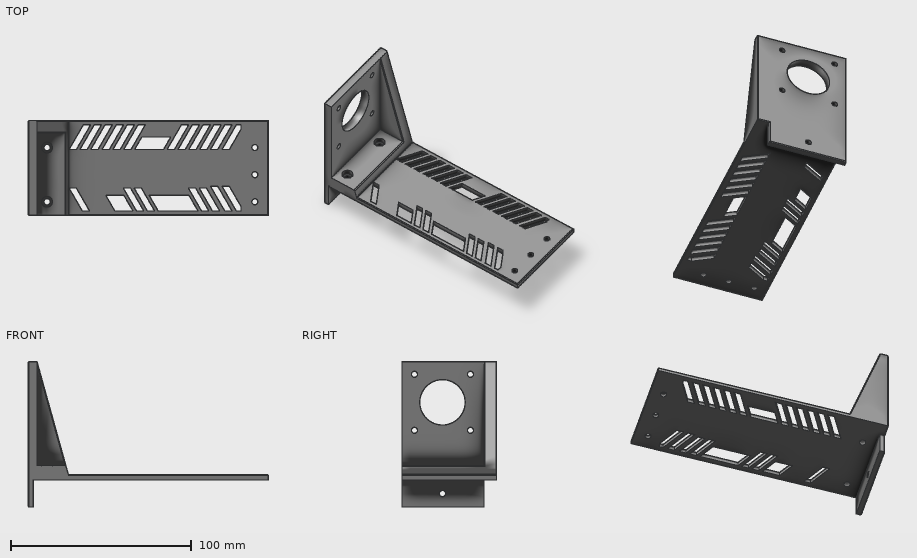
import cadquery as cq
import math

LENGTH = 133.0
WIDTH = 52.5
HEIGHT = 80.5

WALL_THICKNESS = 5.0
FOOT_THICKNESS = 3.0
PLATE_BOTTOM_Z = 15.0
PLATE_THICKNESS = 3.0
PLATE_TOP_Z = PLATE_BOTTOM_Z + PLATE_THICKNESS
LEDGE_Z = 23.0
SLOPE_FOOT_X = 22.35

RIB_THICKNESS = 7.0
RIB_INNER_Y = WIDTH - RIB_THICKNESS
EDGE_CHAMFER = 0.5

FOOT_BEVEL = 0.3

CENTER_Y = 22.5
MOTOR_Z = 58.0
MOTOR_BORE_DIAMETER = 25.0
MOTOR_HOLE_SPACING = 31.0
MOTOR_HOLE_DIAMETER = 3.2

SCREW_HOLE_DIAMETER = 3.4
FOOT_HOLE_Z = 7.5
SCREW_SPACING = 15.0
END_HOLE_X = 125.5
END_HOLE_DIAMETER = 3.2
LEDGE_HOLE_X = 10.5
COUNTERBORE_DIAMETER = 6.0
COUNTERBORE_DEPTH = 3.0

VENT_LEAN = math.radians(30.0)
VENT_WIDTH = 3.9
VENT_PITCH = 6.0
VENT_START_X = 22.8
VENT_END_X = 117.7
VENT_MARGIN = 2.5
LONG_VENT = 13.5
SHORT_VENT = 12.5
BACK_WINDOW_DEPTH = 6.75
FRONT_WINDOW_DEPTH = 8.5
MIDDLE_SHIFT = 0.25
LAST_SHIFT = 0.65


def extrude_profile(points, y_start, y_end):
    """Extrude an XZ outline from y_start to y_end."""
    plane = cq.Workplane("XZ", origin=(0, y_start, 0))
    return plane.polyline(points).close().extrude(y_start - y_end)


def make_body():
    """Wall, plate, ledge and rib, with the foot of the wall cut back below the rib."""
    outline = [
        (0, 0),
        (FOOT_THICKNESS, 0),
        (FOOT_THICKNESS, PLATE_BOTTOM_Z),
        (LENGTH, PLATE_BOTTOM_Z),
        (LENGTH, PLATE_TOP_Z),
        (SLOPE_FOOT_X, PLATE_TOP_Z),
        (WALL_THICKNESS, HEIGHT),
        (0, HEIGHT),
    ]
    body = extrude_profile(outline, 0, WIDTH)
    above_ledge = cq.Workplane("XY").box(SLOPE_FOOT_X, RIB_INNER_Y, HEIGHT, centered=False)
    body = body.cut(above_ledge.translate((WALL_THICKNESS, 0, LEDGE_Z)))
    foot_notch = cq.Workplane("XY").box(FOOT_THICKNESS, RIB_THICKNESS, PLATE_BOTTOM_Z, centered=False)
    return body.cut(foot_notch.translate((0, RIB_INNER_Y, 0)))


def chamfer_edges(body):
    """Bevel the rim of the motor face, the rim of the plate top and the two rims of the slope."""
    body = body.faces("<X").edges().chamfer(EDGE_CHAMFER)
    margin = EDGE_CHAMFER / 2
    plate_rim = cq.selectors.BoxSelector(
        (SLOPE_FOOT_X + margin, -margin, PLATE_TOP_Z - margin),
        (LENGTH + margin, WIDTH + margin, PLATE_TOP_Z + margin),
    )
    slope_rims = cq.selectors.BoxSelector(
        (WALL_THICKNESS + margin, margin, LEDGE_Z - margin),
        (SLOPE_FOOT_X, WIDTH + margin, HEIGHT - margin),
    )
    plate_edges = body.edges(plate_rim)
    slope_edges = body.edges(slope_rims).edges("not(|X or |Z)")
    return plate_edges.add(slope_edges).chamfer(EDGE_CHAMFER)


def point_on_slope(distance):
    """XZ point on the slope, at a distance up from its foot."""
    run = SLOPE_FOOT_X - WALL_THICKNESS
    rise = HEIGHT - PLATE_TOP_Z
    length = math.hypot(run, rise)
    return (SLOPE_FOOT_X - distance * run / length, PLATE_TOP_Z + distance * rise / length)


def add_foot_bevel(body):
    """Fill the inside corner between the slope and the plate with a small bevel."""
    corner = [
        (SLOPE_FOOT_X + FOOT_BEVEL, PLATE_TOP_Z),
        (WALL_THICKNESS, PLATE_TOP_Z),
        point_on_slope(FOOT_BEVEL),
    ]
    return body.union(extrude_profile(corner, EDGE_CHAMFER, WIDTH - EDGE_CHAMFER))


def wall_hole(y, z, diameter):
    """Cylinder along X through the wall."""
    return cq.Workplane("YZ", origin=(0, y, z)).circle(diameter / 2).extrude(WALL_THICKNESS)


def vertical_hole(x, y, bottom_z, diameter):
    """Cylinder along Z from bottom_z up to the height of the ledge."""
    return cq.Workplane("XY", origin=(x, y, bottom_z)).circle(diameter / 2).extrude(LEDGE_Z - bottom_z)


def cut_holes(body):
    """Motor mount, foot hole, end holes and counterbored ledge holes."""
    body = body.cut(wall_hole(CENTER_Y, MOTOR_Z, MOTOR_BORE_DIAMETER))
    body = body.cut(wall_hole(CENTER_Y, FOOT_HOLE_Z, SCREW_HOLE_DIAMETER))
    for y_side in (-1, 1):
        for z_side in (-1, 1):
            y = CENTER_Y + y_side * MOTOR_HOLE_SPACING / 2
            z = MOTOR_Z + z_side * MOTOR_HOLE_SPACING / 2
            body = body.cut(wall_hole(y, z, MOTOR_HOLE_DIAMETER))
    for step in (-1, 0, 1):
        y = CENTER_Y + step * SCREW_SPACING
        body = body.cut(vertical_hole(END_HOLE_X, y, PLATE_BOTTOM_Z, END_HOLE_DIAMETER))
    for step in (-1, 1):
        y = CENTER_Y + step * SCREW_SPACING
        body = body.cut(vertical_hole(LEDGE_HOLE_X, y, PLATE_BOTTOM_Z, SCREW_HOLE_DIAMETER))
        seat_z = LEDGE_Z - COUNTERBORE_DEPTH
        body = body.cut(vertical_hole(LEDGE_HOLE_X, y, seat_z, COUNTERBORE_DIAMETER))
    return body


def make_vent(side, first_slot, last_slot, length, start=0.0, end=None, shift=0.0):
    """Slanted opening on one side of the plate, spanning grid slots and cut off at VENT_END_X.

    side is 1 along the back edge and -1 along the front edge. The grid line lies at a distance
    of length inside the vent margin. The opening runs outward from start to end, both measured
    from the grid line; without an end it reaches the margin.
    """
    border_y = WIDTH - VENT_MARGIN if side > 0 else VENT_MARGIN
    grid_y = border_y - side * length
    if end is None:
        end = length
    left = VENT_START_X + shift + first_slot * VENT_PITCH
    right = left + (last_slot - first_slot) * VENT_PITCH + VENT_WIDTH
    start_lean = start * math.tan(VENT_LEAN)
    end_lean = end * math.tan(VENT_LEAN)
    outline = [
        (left + start_lean, grid_y + side * start),
        (right + start_lean, grid_y + side * start),
        (right + end_lean, grid_y + side * end),
        (left + end_lean, grid_y + side * end),
    ]
    plane = cq.Workplane("XY", origin=(0, 0, PLATE_BOTTOM_Z))
    vent = plane.polyline(outline).close().extrude(PLATE_THICKNESS)
    limit = plane.box(VENT_END_X, WIDTH, PLATE_THICKNESS, centered=False)
    return vent.intersect(limit)


def cut_vents(body):
    """Rows of narrow vents along both sides, with wider windows between them."""
    back, front = 1, -1
    vents = []
    for slot in (0, 1, 2):
        vents.append(make_vent(back, slot, slot, LONG_VENT))
    for slot in (3, 4, 5, 9, 10, 11, 12):
        vents.append(make_vent(back, slot, slot, LONG_VENT, shift=MIDDLE_SHIFT))
    vents.append(make_vent(back, 6, 8, LONG_VENT, end=BACK_WINDOW_DEPTH, shift=MIDDLE_SHIFT))
    for slot in (0, 5, 6, 11, 12):
        vents.append(make_vent(front, slot, slot, SHORT_VENT))
    window_start = SHORT_VENT - FRONT_WINDOW_DEPTH
    for first_slot, last_slot in ((3, 4), (7, 10)):
        vents.append(make_vent(front, first_slot, last_slot, SHORT_VENT, start=window_start))
    for side in (back, front):
        vents.append(make_vent(side, 13, 13, LONG_VENT, shift=MIDDLE_SHIFT))
        vents.append(make_vent(side, 14, 14, LONG_VENT, shift=LAST_SHIFT))
    for vent in vents:
        body = body.cut(vent)
    return body


bracket = chamfer_edges(make_body())
bracket = add_foot_bevel(bracket)
bracket = cut_holes(bracket)
result = cut_vents(bracket)